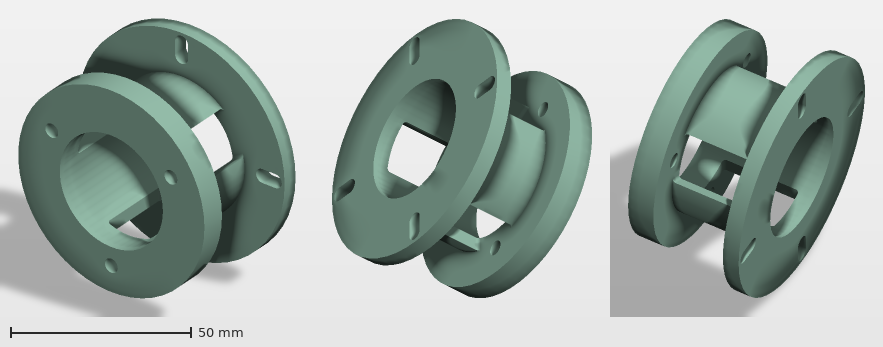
import cadquery as cq

BORE_DIAMETER = 36.0
TUBE_DIAMETER = 44.0

FRONT_FLANGE_DIAMETER = 65.0
FRONT_FLANGE_THICKNESS = 8.0
BACK_FLANGE_DIAMETER = 72.0
BACK_FLANGE_THICKNESS = 5.0
FLANGE_GAP = 24.0

HOLE_COUNT = 3
HOLE_DIAMETER = 4.5
HOLE_CIRCLE_RADIUS = 24.0
FIRST_HOLE_ANGLE = 30.0

SLOT_COUNT = 4
SLOT_WIDTH = 4.5
SLOT_INNER_END = 26.0
SLOT_OUTER_END = 35.0

WINDOW_WIDTH = 15.0
WINDOW_CORNER_RADIUS = 1.0

GAP_START = FRONT_FLANGE_THICKNESS
GAP_END = GAP_START + FLANGE_GAP
TOTAL_LENGTH = GAP_END + BACK_FLANGE_THICKNESS


def cylinder(diameter, y_start, y_end):
    """Solid cylinder on the Y axis between two Y positions."""
    length = y_end - y_start
    return cq.Workplane("XZ", origin=(0, y_start, 0)).circle(diameter / 2).extrude(-length)


def around_axis(shape, angle):
    """Turn a cutter lying along +X by an angle from +X toward +Z."""
    return shape.rotate((0, 0, 0), (0, 1, 0), -angle)


def make_body():
    front_flange = cylinder(FRONT_FLANGE_DIAMETER, 0, GAP_START)
    tube = cylinder(TUBE_DIAMETER, 0, TOTAL_LENGTH)
    back_flange = cylinder(BACK_FLANGE_DIAMETER, GAP_END, TOTAL_LENGTH)
    bore = cylinder(BORE_DIAMETER, 0, TOTAL_LENGTH)
    return front_flange.union(tube).union(back_flange).cut(bore)


def hole_cutter():
    return cylinder(HOLE_DIAMETER, 0, GAP_START).translate((HOLE_CIRCLE_RADIUS, 0, 0))


def slot_cutter():
    slot_center = (SLOT_INNER_END + SLOT_OUTER_END) / 2
    return (
        cq.Workplane("XZ", origin=(slot_center, GAP_END, 0))
        .slot2D(SLOT_OUTER_END - SLOT_INNER_END, SLOT_WIDTH)
        .extrude(-BACK_FLANGE_THICKNESS)
    )


def window_cutter():
    """Round-cornered block reaching from the axis outward to the tube surface."""
    gap_middle = (GAP_START + GAP_END) / 2
    return (
        cq.Workplane("YZ", origin=(0, gap_middle, 0))
        .rect(FLANGE_GAP, WINDOW_WIDTH)
        .extrude(TUBE_DIAMETER / 2)
        .edges("|X")
        .fillet(WINDOW_CORNER_RADIUS)
    )


result = make_body()

for index in range(HOLE_COUNT):
    hole_angle = FIRST_HOLE_ANGLE + index * 360.0 / HOLE_COUNT
    result = result.cut(around_axis(hole_cutter(), hole_angle))
    result = result.cut(around_axis(window_cutter(), hole_angle))

for index in range(SLOT_COUNT):
    result = result.cut(around_axis(slot_cutter(), index * 360.0 / SLOT_COUNT))